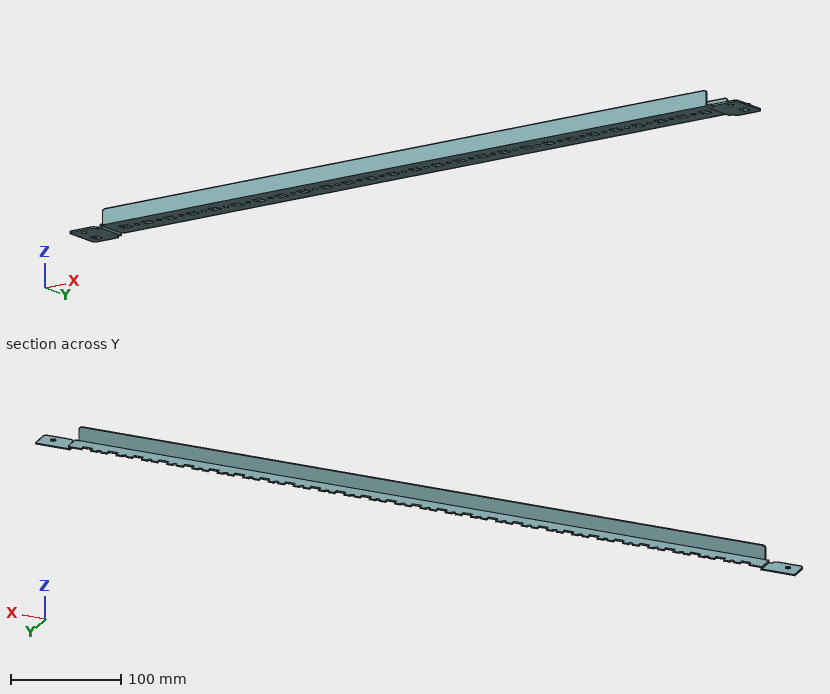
import cadquery as cq

LENGTH = 750.0
TAB_WIDTH = 40.0
HEIGHT = 17.0
SHEET = 1.5

STEP = 2.0
CHANNEL_LENGTH = 678.0
CHANNEL_WIDTH = 34.0
WALL_CORNER = 3.0

TAB_LENGTH = 29.0
TAB_CORNER = 4.0
NECK_WIDTH = CHANNEL_WIDTH - 2 * SHEET
STEP_INSET = 32.0

WINDOW_COUNT = 27
WINDOW_ROW = 650.0
WINDOW_LENGTH = 9.0
WINDOW_WIDTH = 8.0
ROUND_HOLE_DIAMETER = 4.5
PITCH = WINDOW_ROW / (WINDOW_COUNT - 1)

TAB_FEATURE_INSET = 12.0
SCREW_HOLE_DIAMETER = 4.9
SCREW_HOLE_Y = -12.0

LUG_WIDTH = 8.0
LUG_FRONT_Y = 4.0
LUG_BACK_Y = 13.5
LUG_TOP = 5.0
PRONG_TOP = 7.0
UPRIGHT_WIDTH = 6.0
NOTCH_WIDTH = 3.0


def block(x_range, y_range, z_range):
    """A box filling the given (low, high) range along each axis."""
    lows, highs = zip(x_range, y_range, z_range)
    sizes = [high - low for low, high in zip(lows, highs)]
    return cq.Workplane("XY").box(*sizes, centered=False).translate(lows)


def make_channel():
    half_length = CHANNEL_LENGTH / 2
    half_width = CHANNEL_WIDTH / 2
    half_inside = half_width - SHEET
    x_range = (-half_length, half_length)
    channel = block(x_range, (-half_width, half_width), (STEP, HEIGHT))
    channel = channel.cut(block(x_range, (-half_inside, half_inside), (STEP + SHEET, HEIGHT)))
    return channel.edges("|Y and >Z").fillet(WALL_CORNER)


def make_neck():
    """The Z-shaped strip that climbs from the tab to the channel floor at the +X end."""
    tab_x = LENGTH / 2 - TAB_LENGTH + TAB_CORNER
    step_x = LENGTH / 2 - STEP_INSET
    channel_x = CHANNEL_LENGTH / 2
    y_range = (-NECK_WIDTH / 2, NECK_WIDTH / 2)
    lower = block((step_x - SHEET, tab_x), y_range, (0, SHEET))
    riser = block((step_x - SHEET, step_x), y_range, (0, STEP + SHEET))
    upper = block((channel_x, step_x), y_range, (STEP, STEP + SHEET))
    return lower.union(riser).union(upper)


def make_lug(x):
    """The lug alone, centred on x; its inner side and its upright reach down to the tab."""
    inner_x = x - LUG_WIDTH / 2
    x_range = (inner_x, inner_x + LUG_WIDTH)
    y_range = (LUG_FRONT_Y, LUG_BACK_Y - SHEET)
    bridge = block(x_range, y_range, (LUG_TOP - SHEET, LUG_TOP))
    side = block((inner_x, inner_x + SHEET), y_range, (0, LUG_TOP))
    upright_x = (x - UPRIGHT_WIDTH / 2, x + UPRIGHT_WIDTH / 2)
    upright_y = (LUG_BACK_Y - SHEET, LUG_BACK_Y)
    upright = block(upright_x, upright_y, (0, PRONG_TOP))
    notch = block((x - NOTCH_WIDTH / 2, x + NOTCH_WIDTH / 2), upright_y, (LUG_TOP, PRONG_TOP))
    return bridge.union(side).union(upright.cut(notch))


def make_end():
    """The tab at the +X end with its neck, hole and lug."""
    outer_x = LENGTH / 2
    feature_x = outer_x - TAB_FEATURE_INSET
    tab = block((outer_x - TAB_LENGTH, outer_x), (-TAB_WIDTH / 2, TAB_WIDTH / 2), (0, SHEET))
    tab = tab.edges("|Z").fillet(TAB_CORNER)
    hole = cq.Workplane("XY").center(feature_x, SCREW_HOLE_Y).circle(SCREW_HOLE_DIAMETER / 2).extrude(SHEET)
    opening_x = (feature_x - LUG_WIDTH / 2, feature_x + LUG_WIDTH / 2)
    opening = block(opening_x, (LUG_FRONT_Y, LUG_BACK_Y - SHEET), (0, SHEET))
    return tab.cut(hole).cut(opening).union(make_lug(feature_x)).union(make_neck())


def make_perforation():
    """Cutters for the row of windows and round holes along the middle of the floor."""
    first_x = -WINDOW_ROW / 2
    window_points = [(first_x + i * PITCH, 0) for i in range(WINDOW_COUNT)]
    round_points = [(x + PITCH / 2, y) for x, y in window_points[:-1]]
    windows = cq.Workplane("XY").pushPoints(window_points).rect(WINDOW_LENGTH, WINDOW_WIDTH).extrude(HEIGHT)
    rounds = cq.Workplane("XY").pushPoints(round_points).circle(ROUND_HOLE_DIAMETER / 2).extrude(HEIGHT)
    return windows.union(rounds)


end = make_end()
rail = make_channel().cut(make_perforation())
result = rail.union(end).union(end.mirror("YZ"))